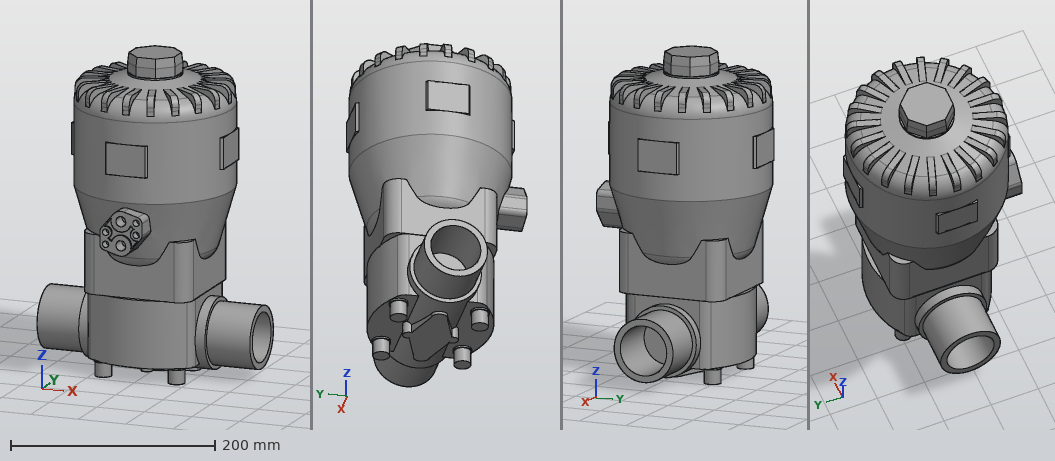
import cadquery as cq
import math

BODY_RADIUS = 80.0
BODY_TOP = 270.5
TAPER_TOP = 188.0
TAPER_BOTTOM = 128.0
TAPER_END_RADIUS = 62.5
BASE_ROUND = 19.3

CAP_ROUND = 20.0
COLLAR_RADIUS = 27.0
COLLAR_BOTTOM = 299.7
COLLAR_TOP = 301.3
CAP_SLOPE_ANGLE = 14.5

RIB_COUNT = 20
RIB_WIDTH = 7.0
RIB_TOP = 295.0
RIB_OUTER_RADIUS = 78.5
RIB_ROUND = 9.5
RIB_FOOT_TOP = 281.5
RIB_FOOT_RADIUS = 79.0
RIB_BOTTOM = 277.0

NUT_SIDES = 8
NUT_WIDTH = 50.0
NUT_TOP_WIDTH = 47.8
NUT_TAPER_START = 311.2
TOTAL_HEIGHT = 321.0

PAD_BOTTOM = 215.0
PAD_TOP = 247.0
PAD_FACE_HALF_WIDTH = 20.5
PAD_BASE_HALF_WIDTH = 22.0
PAD_EDGE_DEPTH = 3.0

YOKE_WIDTH = 113.5
YOKE_CORNER = 14.8
YOKE_TOP = 146.3
VALVE_TOP = 85.5
VALVE_BOTTOM = 16.7
VALVE_WIDTH = 112.3
VALVE_DEPTH = 123.2
VALVE_ARC_RADIUS = 86.0
VALVE_CORNER = 12.8

PIPE_HEIGHT = 43.0
PIPE_LENGTH = 224.0
PIPE_RADIUS = 31.8
BORE_RADIUS = 25.0
BORE_DEPTH = 55.8
PIPE_COLLAR_RADIUS = 36.0
PIPE_COLLAR_LENGTH = 132.8

BOLT_RADIUS = 8.5
BOLT_X = 38.5
BOLT_Y = 40.7
WASHER_RADIUS = 9.3
WASHER_BOTTOM = 14.8
FOOT_BOTTOM = 4.2
FOOT_SIDE_Y = 22.0
FOOT_SIDE_RADIUS = 5.8
FOOT_END_X = 39.5
FOOT_END_RADIUS = 8.0

CONNECTOR_HEIGHT = 159.8
CONNECTOR_FACE_Y = -92.0
CONNECTOR_LENGTH = 38.5
PORT_OFFSET = 12.2
PORT_BOSS_RADIUS = 10.5
PORT_RADIUS = 5.0
PORT_DEPTH = 16.0
SCREW_OFFSET = 16.0
SCREW_BOSS_RADIUS = 6.0
SCREW_RADIUS = 3.2
SCREW_DEPTH = 9.5
RECESS_DEPTH = 2.0
RECESS_HALF_LENGTH = 13.0
RECESS_WALL = 1.3


def on_circle(center, radius, angle):
    return (center[0] + radius * math.cos(angle), center[1] + radius * math.sin(angle))


def vertical_cylinder(x, y, radius, bottom, top):
    return cq.Workplane("XY", origin=(x, y, bottom)).circle(radius).extrude(top - bottom)


def housing():
    """Revolved housing: rounded base, taper, straight wall and domed cap."""
    lean = math.atan2(BODY_RADIUS - TAPER_END_RADIUS, TAPER_TOP - TAPER_BOTTOM)
    base_center = (
        TAPER_END_RADIUS - BASE_ROUND * math.cos(lean),
        TAPER_BOTTOM + BASE_ROUND * math.sin(lean),
    )
    base_middle_angle = -(lean + math.pi / 2) / 2
    base_bottom = base_center[1] - BASE_ROUND

    slope_normal = math.pi / 2 - math.radians(CAP_SLOPE_ANGLE)
    cap_center = (BODY_RADIUS - CAP_ROUND, BODY_TOP)
    return (
        cq.Workplane("XZ")
        .moveTo(0, base_bottom)
        .lineTo(base_center[0], base_bottom)
        .threePointArc(
            on_circle(base_center, BASE_ROUND, base_middle_angle),
            (TAPER_END_RADIUS, TAPER_BOTTOM),
        )
        .lineTo(BODY_RADIUS, TAPER_TOP)
        .lineTo(BODY_RADIUS, BODY_TOP)
        .threePointArc(
            on_circle(cap_center, CAP_ROUND, slope_normal / 2),
            on_circle(cap_center, CAP_ROUND, slope_normal),
        )
        .lineTo(COLLAR_RADIUS, COLLAR_BOTTOM)
        .lineTo(COLLAR_RADIUS, COLLAR_TOP)
        .lineTo(0, COLLAR_TOP)
        .close()
        .revolve(360, (0, 0, 0), (0, 1, 0))
    )


def cap_ribs():
    """Radial ribs with level tops that run out over the rounded cap edge."""
    round_center = (RIB_OUTER_RADIUS - RIB_ROUND, RIB_TOP - RIB_ROUND)
    rib = (
        cq.Workplane("XZ")
        .moveTo(COLLAR_RADIUS, RIB_BOTTOM)
        .lineTo(RIB_FOOT_RADIUS, RIB_BOTTOM)
        .lineTo(RIB_OUTER_RADIUS, RIB_FOOT_TOP)
        .lineTo(RIB_OUTER_RADIUS, round_center[1])
        .threePointArc(on_circle(round_center, RIB_ROUND, math.pi / 4), (round_center[0], RIB_TOP))
        .lineTo(COLLAR_RADIUS, RIB_TOP)
        .close()
        .extrude(RIB_WIDTH / 2, both=True)
    )
    ribs = cq.Workplane("XY")
    for index in range(RIB_COUNT):
        ribs = ribs.add(rib.rotate((0, 0, 0), (0, 0, 1), index * 360 / RIB_COUNT))
    return ribs.combine()


def octagon(width, height):
    """Octagon across flats, with flats facing X and Y, at the given height."""
    return cq.Workplane("XY", origin=(0, 0, height)).polygon(NUT_SIDES, width, circumscribed=True)


def nut():
    straight = octagon(NUT_WIDTH, COLLAR_TOP).extrude(NUT_TAPER_START - COLLAR_TOP)
    taper_height = TOTAL_HEIGHT - NUT_TAPER_START
    taper_angle = math.degrees(math.atan2((NUT_WIDTH - NUT_TOP_WIDTH) / 2, taper_height))
    return straight.union(octagon(NUT_WIDTH, NUT_TAPER_START).extrude(taper_height, taper=taper_angle))


def pads():
    """Four flat pads with bevelled upright edges."""
    base = BODY_RADIUS - PAD_EDGE_DEPTH
    pad = (
        cq.Workplane("XY", origin=(0, 0, PAD_BOTTOM))
        .polyline([
            (0, -PAD_BASE_HALF_WIDTH),
            (base, -PAD_BASE_HALF_WIDTH),
            (BODY_RADIUS, -PAD_FACE_HALF_WIDTH),
            (BODY_RADIUS, PAD_FACE_HALF_WIDTH),
            (base, PAD_BASE_HALF_WIDTH),
            (0, PAD_BASE_HALF_WIDTH),
        ])
        .close()
        .extrude(PAD_TOP - PAD_BOTTOM)
    )
    pair = pad.union(pad.rotate((0, 0, 0), (0, 0, 1), 180))
    return pair.union(pair.rotate((0, 0, 0), (0, 0, 1), 90))


def yoke():
    return (
        cq.Workplane("XY", origin=(0, 0, VALVE_TOP))
        .rect(YOKE_WIDTH, YOKE_WIDTH)
        .extrude(YOKE_TOP - VALVE_TOP)
        .edges("|Z")
        .fillet(YOKE_CORNER)
    )


def valve_body():
    """Block with flat X ends and bulging Y sides."""
    half_width = VALVE_WIDTH / 2
    half_depth = VALVE_DEPTH / 2
    arc_center_y = VALVE_ARC_RADIUS - half_depth
    corner_y = math.sqrt(VALVE_ARC_RADIUS ** 2 - half_width ** 2) - arc_center_y
    return (
        cq.Workplane("XY", origin=(0, 0, VALVE_BOTTOM))
        .moveTo(-half_width, -corner_y)
        .threePointArc((0, -half_depth), (half_width, -corner_y))
        .lineTo(half_width, corner_y)
        .threePointArc((0, half_depth), (-half_width, corner_y))
        .close()
        .extrude(VALVE_TOP - VALVE_BOTTOM)
        .edges("|Z")
        .fillet(VALVE_CORNER)
    )


def pipe_section(radius, start_x, end_x):
    return cq.Workplane("YZ", origin=(start_x, 0, PIPE_HEIGHT)).circle(radius).extrude(end_x - start_x)


def pipes():
    pipe_end = PIPE_LENGTH / 2
    collar_end = PIPE_COLLAR_LENGTH / 2
    pipe = pipe_section(PIPE_RADIUS, -pipe_end, pipe_end)
    return pipe.union(pipe_section(PIPE_COLLAR_RADIUS, -collar_end, collar_end))


def pipe_bores():
    pipe_end = PIPE_LENGTH / 2
    bore = pipe_section(BORE_RADIUS, pipe_end - BORE_DEPTH, pipe_end)
    return bore.union(bore.mirror("YZ"))


def bolts():
    """Four bolts whose washers bear on the underside of the valve body."""
    group = cq.Workplane("XY")
    for x in (-BOLT_X, BOLT_X):
        for y in (-BOLT_Y, BOLT_Y):
            group = group.add(vertical_cylinder(x, y, BOLT_RADIUS, 0, PIPE_HEIGHT))
            group = group.add(vertical_cylinder(x, y, WASHER_RADIUS, WASHER_BOTTOM, VALVE_BOTTOM))
    return group.combine()


def foot():
    """Tapering web under the valve body with a round post at each point."""
    web = (
        cq.Workplane("XY", origin=(0, 0, FOOT_BOTTOM))
        .polyline([
            (0, -FOOT_SIDE_Y),
            (FOOT_END_X, -FOOT_END_RADIUS),
            (FOOT_END_X, FOOT_END_RADIUS),
            (0, FOOT_SIDE_Y),
            (-FOOT_END_X, FOOT_END_RADIUS),
            (-FOOT_END_X, -FOOT_END_RADIUS),
        ])
        .close()
        .extrude(PIPE_HEIGHT - FOOT_BOTTOM)
    )
    for side in (-1, 1):
        web = web.union(vertical_cylinder(0, side * FOOT_SIDE_Y, FOOT_SIDE_RADIUS, FOOT_BOTTOM, PIPE_HEIGHT))
        web = web.union(vertical_cylinder(side * FOOT_END_X, 0, FOOT_END_RADIUS, FOOT_BOTTOM, PIPE_HEIGHT))
    return web


def tangent_normal(first, second):
    """Angle of the outward normal of the tangent joining two (x, y, radius) bosses in CCW order."""
    dx = second[0] - first[0]
    dy = second[1] - first[1]
    return math.atan2(dy, dx) - math.acos((first[2] - second[2]) / math.hypot(dx, dy))


def belt_outline(plane, bosses):
    """Closed outline wrapped tightly around bosses listed counterclockwise."""
    count = len(bosses)
    normals = [tangent_normal(bosses[i], bosses[(i + 1) % count]) for i in range(count)]
    outline = plane.moveTo(*on_circle(bosses[0], bosses[0][2], normals[-1]))
    for index, boss in enumerate(bosses):
        start = normals[index - 1]
        sweep = (normals[index] - start) % (2 * math.pi)
        if index > 0:
            outline = outline.lineTo(*on_circle(boss, boss[2], start))
        outline = outline.threePointArc(
            on_circle(boss, boss[2], start + sweep / 2),
            on_circle(boss, boss[2], start + sweep),
        )
    return outline.close()


UPPER_PORT = (0, PORT_OFFSET)
LOWER_PORT = (0, -PORT_OFFSET)
LEFT_SCREW = (-SCREW_OFFSET, 0)
RIGHT_SCREW = (SCREW_OFFSET, 0)
PORTS = [UPPER_PORT, LOWER_PORT]
MIDDLE_SCREWS = [LEFT_SCREW, RIGHT_SCREW]
CORNER_SCREWS = [(-SCREW_OFFSET, -PORT_OFFSET), (SCREW_OFFSET, PORT_OFFSET)]


def connector_face():
    return cq.Workplane("XZ", origin=(0, CONNECTOR_FACE_Y, CONNECTOR_HEIGHT))


def connector_recess():
    """Shallow slanted pocket that leaves the port and middle screw bosses standing."""
    slant_normal = tangent_normal((*UPPER_PORT, PORT_BOSS_RADIUS), (*LEFT_SCREW, SCREW_BOSS_RADIUS))
    edge_distance = PORT_OFFSET * math.sin(slant_normal) + PORT_BOSS_RADIUS
    pocket = (
        connector_face()
        .transformed(rotate=(0, 0, math.degrees(slant_normal)))
        .rect(2 * (edge_distance - RECESS_WALL), 2 * RECESS_HALF_LENGTH)
        .extrude(-RECESS_DEPTH)
    )
    port_bosses = connector_face().pushPoints(PORTS).circle(PORT_BOSS_RADIUS).extrude(-RECESS_DEPTH)
    screw_bosses = connector_face().pushPoints(MIDDLE_SCREWS).circle(SCREW_BOSS_RADIUS).extrude(-RECESS_DEPTH)
    return pocket.cut(port_bosses).cut(screw_bosses)


def connector():
    bosses = [
        (*RIGHT_SCREW, SCREW_BOSS_RADIUS),
        (*CORNER_SCREWS[1], SCREW_BOSS_RADIUS),
        (*UPPER_PORT, PORT_BOSS_RADIUS),
        (*LEFT_SCREW, SCREW_BOSS_RADIUS),
        (*CORNER_SCREWS[0], SCREW_BOSS_RADIUS),
        (*LOWER_PORT, PORT_BOSS_RADIUS),
    ]
    block = belt_outline(connector_face(), bosses).extrude(-CONNECTOR_LENGTH)
    ports = connector_face().pushPoints(PORTS).circle(PORT_RADIUS).extrude(-PORT_DEPTH)
    screw_points = MIDDLE_SCREWS + CORNER_SCREWS
    screws = connector_face().pushPoints(screw_points).circle(SCREW_RADIUS).extrude(-SCREW_DEPTH)
    return block.cut(connector_recess()).cut(ports).cut(screws)


result = (
    housing()
    .union(cap_ribs())
    .union(nut())
    .union(pads())
    .union(yoke())
    .union(valve_body())
    .union(pipes())
    .union(foot())
    .union(bolts())
    .cut(pipe_bores())
    .union(connector())
)